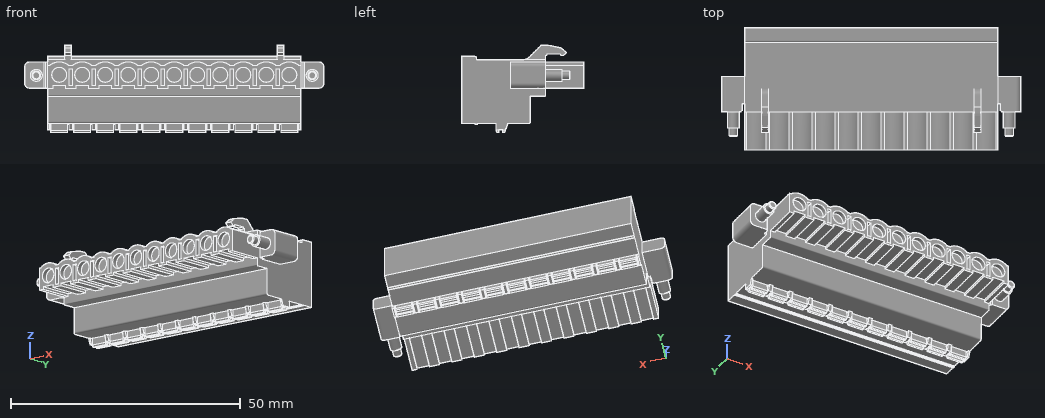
import cadquery as cq
import math


poles = 11
total_length = 65.1

housing_length = 55.1
housing_depth = 18.3
housing_top = 13.9
ledge_top = 14.65
ledge_depth = 3.25
ledge_radius = 0.4
step_z = 5.9
step_y = 3.3
step_radius = 0.2
bottom_radius = 0.4
rib_y = 15.1
rib_width = 0.5
rib_height = 0.2

pitch = housing_length / poles
pole_centers = [(i - (poles - 1) / 2) * pitch for i in range(poles)]
pole_borders = [(i - poles / 2) * pitch for i in range(poles + 1)]
inner_borders = pole_borders[1:-1]

sleeve_length = 8.35
sleeve_bottom = 7.7
sleeve_top = 13.4
valley_z = 12.6
valley_width = 0.8
hole_diameter = 3.25
hole_z = 10.6
recess_depth = 1.3
slot_width = 0.8
slot_bottom = 8.3
slot_top = 11.85
notch_width = 2.75
notch_height = 0.6

flange_depth = 7.7
flange_radius = 1.05
relief_width = 0.5
relief_depth = 1.7
relief_chamfer = 0.3
pin_offset = 30.0
pin_z = 10.5
shank_diameter = 2.6
shank_length = 3.6
tip_diameter = 1.9
tip_end = 5.35
tip_chamfer = 0.2

latch_offset = 23.1
latch_width = 1.5
latch_top = 17.05
latch_start = 4.95
latch_arc_radius = 2.0
hook_underside = 15.1
hook_radius = 0.3
latch_root = 0.65
hook_nose = (
    (-0.4, latch_top),
    (-1.0, 17.0),
    (-3.4, 16.5),
    (-4.55, 15.4),
    (-3.85, 14.8),
    (-3.4, 14.8),
    (-3.1, hook_underside),
)

foot_width = 3.7
foot_height = 1.95
foot_front = 8.7
foot_rear = 10.8
foot_bevel_height = 0.45
foot_bevel_depth = 0.2
foot_groove_front = 9.4
foot_groove_rear = 10.15
foot_groove_height = 0.6
post_width = 0.85
post_height = 1.35
post_top_front = 8.2
post_bottom_front = 8.7
post_chamfer = 0.3


def box(x_min, x_max, y_min, y_max, z_min, z_max):
    """Axis-aligned block between the given limits."""
    block = cq.Workplane("XY").box(x_max - x_min, y_max - y_min, z_max - z_min, centered=False)
    return block.translate((x_min, y_min, z_min))


def extrude_along_x(outline, x_center, width):
    """Extrude a closed outline in the YZ plane, centred on x_center."""
    return outline.extrude(width / 2, both=True).translate((x_center, 0, 0))


def make_housing():
    outline = (
        cq.Workplane("YZ")
        .moveTo(housing_depth, 0)
        .lineTo(housing_depth, ledge_top)
        .lineTo(housing_depth - ledge_depth, ledge_top)
        .lineTo(housing_depth - ledge_depth, housing_top)
        .lineTo(0, housing_top)
        .lineTo(0, step_z)
        .lineTo(step_y, step_z)
        .lineTo(step_y, 0)
        .close()
    )
    housing = extrude_along_x(outline, 0, housing_length)
    rounded_edges = (
        (housing_depth - ledge_depth, ledge_top, ledge_radius),
        (0, step_z, step_radius),
        (step_y, 0, bottom_radius),
    )
    for y, z, radius in rounded_edges:
        housing = housing.edges(cq.NearestToPointSelector((0, y, z))).fillet(radius)
    rib = box(
        -housing_length / 2, housing_length / 2,
        rib_y - rib_width / 2, rib_y + rib_width / 2,
        -rib_height, rib_height,
    )
    return housing.union(rib)


def make_sleeves():
    """Row of arched sleeves joined by flat valleys, with their front recesses."""
    outline = cq.Workplane("XZ").moveTo(-housing_length / 2, sleeve_bottom)
    outline = outline.lineTo(-housing_length / 2, valley_z)
    arch_half = (pitch - valley_width) / 2
    for x in pole_centers:
        outline = outline.lineTo(x - arch_half, valley_z)
        outline = outline.threePointArc((x, sleeve_top), (x + arch_half, valley_z))
    outline = outline.lineTo(housing_length / 2, valley_z).lineTo(housing_length / 2, sleeve_bottom)
    sleeves = outline.close().extrude(sleeve_length)

    front = -sleeve_length
    recess_floor = front + recess_depth
    holes = (
        cq.Workplane("XZ", origin=(0, recess_floor, hole_z))
        .pushPoints([(x, 0) for x in pole_centers])
        .circle(hole_diameter / 2)
        .extrude(recess_depth)
    )
    sleeves = sleeves.cut(holes)
    half = slot_width / 2
    for x in inner_borders:
        sleeves = sleeves.cut(box(x - half, x + half, front, recess_floor, slot_bottom, slot_top))
    half = notch_width / 2
    notch_top = sleeve_bottom + notch_height
    for x in pole_centers:
        sleeves = sleeves.cut(box(x - half, x + half, front, 0, sleeve_bottom, notch_top))
    return sleeves


def make_left_flange():
    """Rounded block on the -X end with a relief beside the housing and a stepped pin."""
    x_min = -total_length / 2
    x_max = -housing_length / 2
    flange = box(x_min, x_max, 0, flange_depth, sleeve_bottom, sleeve_top)
    flange = flange.edges("|Y and <X").fillet(flange_radius)
    relief = box(x_max - relief_width, x_max, 0, relief_depth, sleeve_bottom, sleeve_top)
    flange = flange.cut(relief)
    relief_edge = (x_max - relief_width, 0, (sleeve_bottom + sleeve_top) / 2)
    flange = flange.edges(cq.NearestToPointSelector(relief_edge)).chamfer(relief_chamfer)

    pin_plane = cq.Workplane("XZ", origin=(-pin_offset, 0, pin_z))
    shank = pin_plane.circle(shank_diameter / 2).extrude(shank_length)
    tip = pin_plane.circle(tip_diameter / 2).extrude(tip_end).faces("<Y").chamfer(tip_chamfer)
    return flange.union(shank).union(tip)


def make_latch(x_center):
    """Hooked latch that rises from the housing top and reaches over the sleeves."""
    sweep = math.radians(45)
    arc_end_y = latch_start - latch_arc_radius * math.sin(sweep)
    arc_end_z = housing_top + latch_arc_radius * (1 - math.cos(sweep))
    arc_mid_y = latch_start - latch_arc_radius * math.sin(sweep / 2)
    arc_mid_z = housing_top + latch_arc_radius * (1 - math.cos(sweep / 2))
    ramp_top_y = arc_end_y - (latch_top - arc_end_z)
    outline = (
        cq.Workplane("YZ")
        .moveTo(0, housing_top - latch_root)
        .lineTo(latch_start, housing_top - latch_root)
        .lineTo(latch_start, housing_top)
        .threePointArc((arc_mid_y, arc_mid_z), (arc_end_y, arc_end_z))
        .lineTo(ramp_top_y, latch_top)
    )
    for y, z in hook_nose:
        outline = outline.lineTo(y, z)
    outline = (
        outline
        .lineTo(-hook_radius, hook_underside)
        .radiusArc((0, hook_underside - hook_radius), -hook_radius)
        .close()
    )
    return extrude_along_x(outline, x_center, latch_width)


def make_foot(x_center):
    """Wide foot, bevelled at front and rear, with a groove across its underside."""
    bevel_top = foot_bevel_height - foot_height
    groove_top = foot_groove_height - foot_height
    outline = cq.Workplane("YZ").polyline([
        (foot_front, 0),
        (foot_front, bevel_top),
        (foot_front + foot_bevel_depth, -foot_height),
        (foot_groove_front, -foot_height),
        (foot_groove_front, groove_top),
        (foot_groove_rear, groove_top),
        (foot_groove_rear, -foot_height),
        (foot_rear - foot_bevel_depth, -foot_height),
        (foot_rear, bevel_top),
        (foot_rear, 0),
    ]).close()
    return extrude_along_x(outline, x_center, foot_width)


def make_post(x_min, x_max):
    """Narrow post with a sloping front."""
    outline = cq.Workplane("YZ").polyline([
        (foot_rear, 0),
        (post_top_front, 0),
        (post_bottom_front - post_chamfer / 2, post_chamfer - post_height),
        (post_bottom_front, -post_height),
        (foot_rear, -post_height),
    ]).close()
    return extrude_along_x(outline, (x_min + x_max) / 2, x_max - x_min)


left_flange = make_left_flange()
result = make_housing().union(make_sleeves())
result = result.union(left_flange).union(left_flange.mirror("YZ"))
for x in (-latch_offset, latch_offset):
    result = result.union(make_latch(x))
for x in pole_centers:
    result = result.union(make_foot(x))
for x in pole_borders:
    post_min = max(x - post_width / 2, -housing_length / 2)
    post_max = min(x + post_width / 2, housing_length / 2)
    result = result.union(make_post(post_min, post_max))